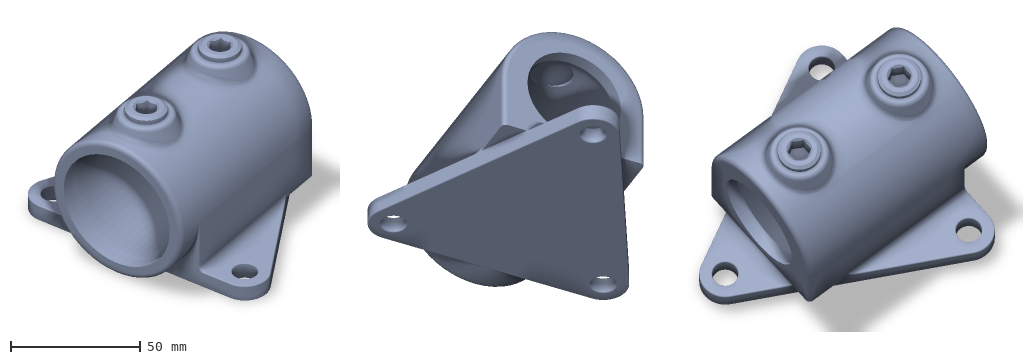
import cadquery as cq
import math


BASE_WIDTH = 110.0
OVERALL_LENGTH = 117.0

TUBE_RADIUS = 30.4
TUBE_LENGTH = 90.0
BORE_RADIUS = 24.9
STOP_RADIUS = 20.0
STOP_THICKNESS = TUBE_RADIUS - BORE_RADIUS
BLOCK_FRONT = 12.0
BLOCK_MIDDLE = 46.8

PLATE_THICKNESS = 7.0
LUG_RADIUS = 10.1
LUG_HOLE_RADIUS = 5.0
SIDE_LUG_X = BASE_WIDTH / 2 - LUG_RADIUS
SIDE_LUG_Y = BLOCK_FRONT + LUG_RADIUS
REAR_LUG_Y = OVERALL_LENGTH - LUG_RADIUS

BOSS_TOP = 65.5
BOSS_TOP_RADIUS = 11.1
BOSS_DRAFT = 20.0
BOSS_INSET = 20.0
BOSS_Y = (BOSS_INSET, TUBE_LENGTH - BOSS_INSET)

SCREW_TOP = 68.2
SCREW_RADIUS = 8.3
SCREW_BOTTOM = TUBE_RADIUS + BORE_RADIUS
SCREW_CHAMFER_WIDTH = 1.4
SCREW_CHAMFER_HEIGHT = 0.8
SOCKET_FLATS = 8.1
SOCKET_DEPTH = 7.0
SOCKET_MOUTH_RADIUS = 5.0

CAST_FILLET = 2.0
EDGE_FILLET = 0.5


def cylinder_along_y(radius, start, length):
    """Cylinder on the tube axis, from Y = start toward +Y."""
    base = cq.Plane(origin=(0, start, TUBE_RADIUS), xDir=(1, 0, 0), normal=(0, 1, 0))
    return cq.Workplane(base).circle(radius).extrude(length)


def make_base_outline(height):
    """Prism over the base outline: three round lugs with holes, joined by straight edges."""
    lug_centers = [(-SIDE_LUG_X, SIDE_LUG_Y), (SIDE_LUG_X, SIDE_LUG_Y), (0, REAR_LUG_Y)]
    slant = math.atan2(SIDE_LUG_X, REAR_LUG_Y - SIDE_LUG_Y)
    tangent_x = LUG_RADIUS * math.cos(slant)
    tangent_y = LUG_RADIUS * math.sin(slant)
    middle = (slant - math.pi / 2) / 2
    middle_x = SIDE_LUG_X + LUG_RADIUS * math.cos(middle)
    middle_y = SIDE_LUG_Y + LUG_RADIUS * math.sin(middle)
    return (
        cq.Workplane("XY")
        .moveTo(-SIDE_LUG_X, BLOCK_FRONT)
        .lineTo(SIDE_LUG_X, BLOCK_FRONT)
        .threePointArc((middle_x, middle_y), (SIDE_LUG_X + tangent_x, SIDE_LUG_Y + tangent_y))
        .lineTo(tangent_x, REAR_LUG_Y + tangent_y)
        .threePointArc((0, OVERALL_LENGTH), (-tangent_x, REAR_LUG_Y + tangent_y))
        .lineTo(-SIDE_LUG_X - tangent_x, SIDE_LUG_Y + tangent_y)
        .threePointArc((-middle_x, middle_y), (-SIDE_LUG_X, BLOCK_FRONT))
        .close()
        .pushPoints(lug_centers)
        .circle(LUG_HOLE_RADIUS)
        .extrude(height)
    )


def make_plate():
    """Base plate, rounded along all its top and bottom edges."""
    return make_base_outline(PLATE_THICKNESS).edges("<Z or >Z").fillet(EDGE_FILLET)


def make_pedestal():
    """Plate flanks sweeping up into the block sides, trimmed to the base outline and rounded."""
    sweep_end = TUBE_RADIUS + CAST_FILLET
    sweep_top = PLATE_THICKNESS + CAST_FILLET
    inset = CAST_FILLET * (1 - math.sqrt(0.5))
    half_profile = (
        cq.Workplane("XZ", origin=(0, BLOCK_FRONT, 0))
        .lineTo(BASE_WIDTH / 2, 0)
        .lineTo(BASE_WIDTH / 2, PLATE_THICKNESS)
        .lineTo(sweep_end, PLATE_THICKNESS)
        .threePointArc((TUBE_RADIUS + inset, PLATE_THICKNESS + inset), (TUBE_RADIUS, sweep_top))
        .lineTo(TUBE_RADIUS, TUBE_RADIUS)
        .lineTo(0, TUBE_RADIUS)
        .close()
        .extrude(BLOCK_FRONT - TUBE_LENGTH)
    )
    profile = half_profile.union(half_profile.mirror("YZ"))
    pedestal = profile.intersect(make_base_outline(TUBE_RADIUS))
    exposed = cq.selectors.BoxSelector(
        (-BASE_WIDTH, 0, PLATE_THICKNESS - EDGE_FILLET),
        (BASE_WIDTH, TUBE_LENGTH - EDGE_FILLET, TUBE_RADIUS - EDGE_FILLET),
    )
    pedestal = pedestal.edges(exposed).edges("not |Y").fillet(EDGE_FILLET)
    return pedestal.edges("<Z").edges("not >Y").fillet(EDGE_FILLET)


def make_rear_block():
    """Arch-shaped rear end of the block, overhanging the plate and rounded at its back."""
    return (
        cq.Workplane("XZ", origin=(0, BLOCK_MIDDLE, 0))
        .moveTo(-TUBE_RADIUS, PLATE_THICKNESS)
        .lineTo(TUBE_RADIUS, PLATE_THICKNESS)
        .lineTo(TUBE_RADIUS, TUBE_RADIUS)
        .threePointArc((0, 2 * TUBE_RADIUS), (-TUBE_RADIUS, TUBE_RADIUS))
        .close()
        .extrude(BLOCK_MIDDLE - TUBE_LENGTH)
        .faces(">Y")
        .edges("not <Z")
        .fillet(CAST_FILLET)
    )


def make_rear_foot():
    """Small hollow sweep between the plate top and the back of the block."""
    foot_top = PLATE_THICKNESS + EDGE_FILLET
    foot_end = TUBE_LENGTH + EDGE_FILLET
    inset = EDGE_FILLET * (1 - math.sqrt(0.5))
    strip = (
        cq.Workplane("YZ")
        .moveTo(BLOCK_MIDDLE, PLATE_THICKNESS - EDGE_FILLET)
        .lineTo(foot_end, PLATE_THICKNESS - EDGE_FILLET)
        .lineTo(foot_end, PLATE_THICKNESS)
        .threePointArc((TUBE_LENGTH + inset, PLATE_THICKNESS + inset), (TUBE_LENGTH, foot_top))
        .lineTo(BLOCK_MIDDLE, foot_top)
        .close()
        .extrude(TUBE_RADIUS - CAST_FILLET, both=True)
    )
    return strip.intersect(make_base_outline(TUBE_RADIUS))


def make_boss(y):
    """Tapered boss with a rounded top; its foot is buried in the tube wall."""
    foot_radius = BOSS_TOP_RADIUS + (BOSS_TOP - SCREW_BOTTOM) * math.tan(math.radians(BOSS_DRAFT))
    return (
        cq.Workplane("XZ", origin=(0, y, 0))
        .moveTo(0, SCREW_BOTTOM)
        .lineTo(foot_radius, SCREW_BOTTOM)
        .lineTo(BOSS_TOP_RADIUS, BOSS_TOP)
        .lineTo(0, BOSS_TOP)
        .close()
        .revolve(360, (0, 0, 0), (0, 1, 0))
        .faces(">Z")
        .edges()
        .fillet(CAST_FILLET)
    )


def make_tube():
    """Round tube with a rounded front rim and two filleted bosses, still solid."""
    tube = cylinder_along_y(TUBE_RADIUS, 0, TUBE_LENGTH - CAST_FILLET).faces("<Y").edges().fillet(CAST_FILLET)
    for y in BOSS_Y:
        tube = tube.union(make_boss(y))
    for y in BOSS_Y:
        joint = cq.selectors.BoxSelector(
            (-CAST_FILLET, y - CAST_FILLET, SCREW_BOTTOM),
            (CAST_FILLET, y + CAST_FILLET, BOSS_TOP - CAST_FILLET),
        )
        tube = tube.edges(joint).fillet(CAST_FILLET)
    return tube


def make_body():
    """Cast body: tube, block and base in one piece, with the bore and all its holes."""
    screw_holes = (
        cq.Workplane("XY", origin=(0, 0, TUBE_RADIUS))
        .pushPoints([(0, y) for y in BOSS_Y])
        .circle(SCREW_RADIUS)
        .extrude(BOSS_TOP - TUBE_RADIUS)
    )
    return (
        make_pedestal()
        .union(make_plate())
        .union(make_rear_block())
        .union(make_rear_foot())
        .union(make_tube())
        .cut(cylinder_along_y(BORE_RADIUS, 0, TUBE_LENGTH - STOP_THICKNESS))
        .cut(cylinder_along_y(STOP_RADIUS, 0, TUBE_LENGTH))
        .cut(screw_holes)
    )


def make_screw(y):
    """Socket set screw, chamfered at the top, with a countersunk hexagon socket."""
    shank = (
        cq.Workplane("XY", origin=(0, y, SCREW_BOTTOM))
        .circle(SCREW_RADIUS)
        .extrude(SCREW_TOP - SCREW_BOTTOM)
        .faces(">Z")
        .chamfer(SCREW_CHAMFER_HEIGHT, SCREW_CHAMFER_WIDTH)
    )
    corner_diameter = SOCKET_FLATS / math.cos(math.pi / 6)
    top = cq.Workplane("XY", origin=(0, y, SCREW_TOP))
    socket = top.polygon(6, corner_diameter).extrude(-SOCKET_DEPTH)
    mouth = top.circle(SOCKET_MOUTH_RADIUS).extrude(-SOCKET_MOUTH_RADIUS, taper=45)
    return shank.cut(socket).cut(mouth)


body = make_body()
screws = [make_screw(y) for y in BOSS_Y]
result = cq.Compound.makeCompound([body.val(), *[screw.val() for screw in screws]])